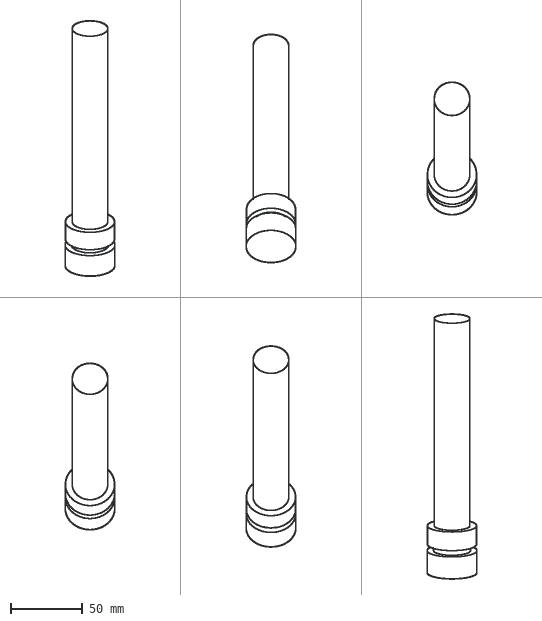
import cadquery as cq

head_diameter = 35.0
head_height = 16.0
groove_diameter = 26.0
groove_width = 4.5
collar_diameter = 34.5
collar_height = 13.5
rod_diameter = 25.0
rod_length = 150.0


def add_cylinder(body, diameter, height):
    """Stack a coaxial cylinder on the top face of the body."""
    return body.faces(">Z").workplane().circle(diameter / 2).extrude(height)


result = cq.Workplane("XY").circle(head_diameter / 2).extrude(head_height)
result = add_cylinder(result, groove_diameter, groove_width)
result = add_cylinder(result, collar_diameter, collar_height)
result = add_cylinder(result, rod_diameter, rod_length)